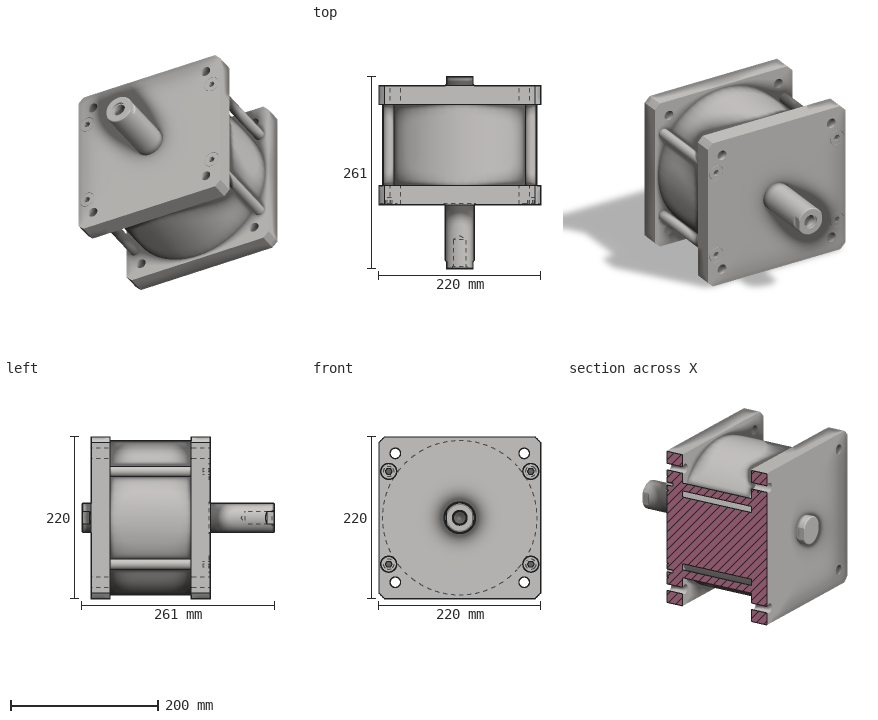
import cadquery as cq
import math

plate_side = 220.0
plate_thickness = 26.0
plate_turned_diameter = 300.0
body_diameter = 210.0
body_length = 110.0
drive_end_length = 87.0
rear_end_length = 12.0

shaft_diameter = 40.0
shaft_tip_radius = 1.8
flat_width = 36.0
flat_length = 10.0
thread_bore_diameter = 17.29
thread_mouth_diameter = 20.25
thread_mouth_depth = 3.0
thread_bore_depth = 40.0
drill_point_angle = 120.0
shaft_recess_diameter = 43.0
shaft_recess_depth = 2.0

rod_x = 96.5
rod_z = 63.0
rod_diameter = 14.0
screw_recess_diameter = 22.0
screw_head_diameter = 21.0
screw_recess_depth = 2.0
hex_across_flats = 8.0
hex_depth = 10.0

mount_hole_offset = 87.5
mount_hole_diameter = 14.0

body_front = -body_length / 2
body_rear = body_length / 2
front_face = body_front - plate_thickness
rear_face = body_rear + plate_thickness
drive_tip = front_face - drive_end_length
rear_tip = rear_face + rear_end_length
flat_ramp = (shaft_diameter - flat_width) / 2


def four_corners(x, z):
    """Four points mirrored about both axes of the plate."""
    return [(side_x * x, side_z * z) for side_x in (-1, 1) for side_z in (-1, 1)]


rod_positions = four_corners(rod_x, rod_z)
mount_positions = four_corners(mount_hole_offset, mount_hole_offset)


def plane_at(y):
    """Sketch plane across the axis: local x is X, local y is Z, negative extrusions run toward +Y."""
    return cq.Workplane(cq.Plane(origin=(0, y, 0), xDir=(1, 0, 0), normal=(0, -1, 0)))


def cylinder(diameter, y_start, y_end, positions=((0, 0),)):
    """Round bars or cutters along Y between two stations."""
    return plane_at(y_start).pushPoints(positions).circle(diameter / 2).extrude(y_start - y_end)


def make_plate(y_start):
    """Square end plate whose corners are trimmed by a turned diameter, with mounting holes."""
    y_end = y_start + plate_thickness
    square = plane_at(y_start).rect(plate_side, plate_side).extrude(-plate_thickness)
    plate = square.intersect(cylinder(plate_turned_diameter, y_start, y_end))
    return plate.cut(cylinder(mount_hole_diameter, y_start, y_end, mount_positions))


def flat_cutter(side, tip, inward):
    """Wedge that mills one flat at a shaft tip and runs out through a 45 degree ramp."""
    flat_x = side * flat_width / 2
    outer_x = side * shaft_diameter / 2
    flat_end = tip + inward * flat_length
    ramp_end = flat_end + inward * flat_ramp
    profile = [(flat_x, tip), (flat_x, flat_end), (outer_x, ramp_end), (outer_x, tip)]
    return cq.Workplane("XY").polyline(profile).close().extrude(shaft_diameter / 2, both=True)


def make_thread_bore():
    """Blind bore in the drive end with a counterbored mouth and a conical drill point."""
    bore_radius = thread_bore_diameter / 2
    mouth_radius = thread_mouth_diameter / 2
    mouth_end = drive_tip + thread_mouth_depth
    bore_end = drive_tip + thread_bore_depth
    point_end = bore_end + bore_radius / math.tan(math.radians(drill_point_angle / 2))
    profile = [
        (0, drive_tip),
        (mouth_radius, drive_tip),
        (mouth_radius, mouth_end),
        (bore_radius, mouth_end),
        (bore_radius, bore_end),
        (0, point_end),
    ]
    return cq.Workplane("XY").polyline(profile).close().revolve(360, (0, 0, 0), (0, 1, 0))


def make_shaft():
    """Through shaft with rounded tips, two flats at each tip and a bore in the drive end."""
    shaft = cylinder(shaft_diameter, drive_tip, rear_tip)
    shaft = shaft.faces("<Y or >Y").edges().fillet(shaft_tip_radius)
    for tip, inward in ((drive_tip, 1), (rear_tip, -1)):
        for side in (-1, 1):
            shaft = shaft.cut(flat_cutter(side, tip, inward))
    return shaft.cut(make_thread_bore())


def make_screw_recesses():
    """Narrow ring gap around each screw head and its hexagon socket, sunk in the front plate."""
    gap_end = front_face + screw_recess_depth
    recesses = cylinder(screw_recess_diameter, front_face, gap_end, rod_positions)
    heads = cylinder(screw_head_diameter, front_face, gap_end, rod_positions)
    hex_across_corners = hex_across_flats / math.cos(math.pi / 6)
    hexagons = plane_at(front_face).pushPoints(rod_positions).polygon(6, hex_across_corners)
    sockets = hexagons.extrude(-hex_depth)
    return recesses.cut(heads).union(sockets)


body = cylinder(body_diameter, body_front, body_rear)
rods = cylinder(rod_diameter, body_front, body_rear, rod_positions)
housing = body.union(make_plate(front_face)).union(make_plate(body_rear)).union(rods)
housing = housing.cut(make_screw_recesses())
housing = housing.cut(cylinder(shaft_recess_diameter, front_face, front_face + shaft_recess_depth))

result = housing.union(make_shaft())